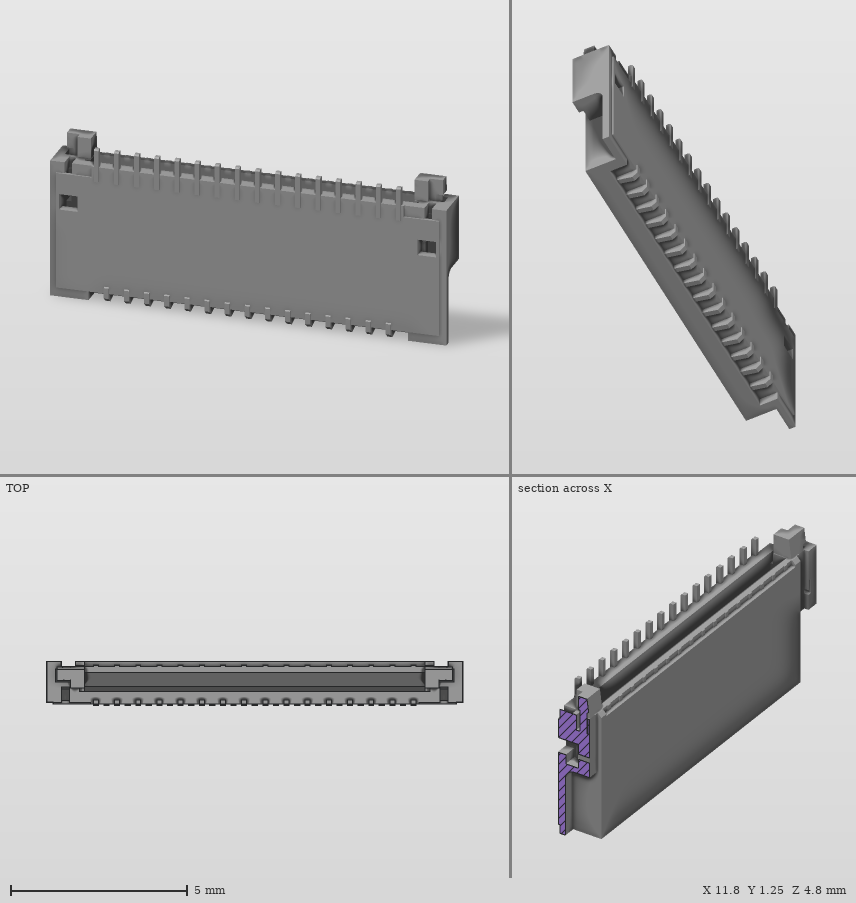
import cadquery as cq


LENGTH = 11.8
DEPTH = 1.25
HEIGHT = 4.15
PANEL_Y = 0.035
FRAME_Y = 0.09
FRAME_WIDTH = 0.19
PANEL_BOTTOM = 0.29
HALF = LENGTH / 2

CORNER_X = 4.65
CORNER_Z = 3.815
KEY_SLOT_INNER = 5.25
KEY_SLOT_WIDTH = 0.22
KEY_SLOT_BACK = 0.53
KEY_PIT_FRONT = 0.14
KEY_PIT_BACK = 0.47
KEY_PIT_DEPTH = 0.15

CORE_X = 5.08
RELIEF_TOP = 2.2
PLATE_BACK = 0.29
RELIEF_RADIUS = 0.29
BACK_NOTCH_X = 5.48
BACK_NOTCH_DEPTH = 0.14

FOOT_X = 4.757
FOOT_DEPTH = 0.65

MOUTH_HALF = 4.82
SLOT_FRONT = 0.39
SLOT_BACK = 0.54
MOUTH_BACK = 0.935
SLOT_DEPTH = 3.0
SIDE_NICHE_WIDTH = 0.15
SIDE_NICHE_DEPTH = 0.10
SIDE_NICHE_HEIGHT = 0.35

RIM_FRONT = 1.11
RIM_DROP = 0.18
RIM_CHAMFER = 0.115
RIB_DEPTH = 0.03

PITCH = 0.6
TAIL_COUNT = 16
TAIL_WIDTH = 0.14
TAIL_THICKNESS = 0.16
TAIL_BOTTOM = 3.70
TAIL_TOP = 4.70
TAIL_CHAMFER = 0.04
PAD_COUNT = 15
PAD_WIDTH = 0.15
PAD_BOTTOM = 0.02
PAD_TOP = 0.50
PAD_CHAMFER_TOP = 0.03
PAD_SLOPE_HEIGHT = 0.13
PAD_SLOPE_DEPTH = 0.16

LOCK_TOP = 4.80
LOCK_OUTER = 5.60
LOCK_MIDDLE = 5.22
LOCK_INNER = 4.82
LOCK_FRONT = 0.50
LOCK_ARM_FRONT = 0.71
LOCK_BACK_TOP = 1.025
LOCK_BACK_BOTTOM = 1.11
LOCK_GAP = 0.035
ARM_BOTTOM = 4.34
STEM_OUTER = 5.55
STEM_FRONT_X = 5.39
STEM_BACK_X = 5.43
STEM_NOSE_FRONT = 0.81
STEM_NOSE_BACK = 0.89
LOCK_POCKET_OUTER = 5.65
LOCK_POCKET_FRONT = 0.665
LOCK_POCKET_BACK = 1.04
LOCK_POCKET_DEPTH = 0.50

WINDOW_OUTER = 5.616
WINDOW_INNER = 5.065
WINDOW_BOTTOM = 2.70
WINDOW_TOP = 3.175
WINDOW_SILL_BACK = 0.31
WINDOW_POCKET_BACK = 0.71
WINDOW_POCKET_FLOOR = 2.40
SLIT_INNER = 5.50
SLIT_LOWER_INNER = 5.47
SLIT_STEP_Z = 2.855
LEDGE_WIDTH = 0.095
LEDGE_HEIGHT = 0.23
LEDGE_FRONT = 0.45


def box(x0, x1, y0, y1, z0, z1):
    """Box between two opposite corners."""
    return cq.Workplane("XY").box(x1 - x0, y1 - y0, z1 - z0, centered=False).translate((x0, y0, z0))


def side_prism(points, x0, x1):
    """Closed (Y, Z) outline extruded from x0 to x1."""
    return cq.Workplane("YZ").polyline(points).close().extrude(x1 - x0).translate((x0, 0, 0))


def both_ends(shape):
    """The shape together with its mirror image about X = 0."""
    return shape.union(shape.mirror("YZ"))


def contact_positions(count):
    """X of each contact in a centred row."""
    return [(i - (count - 1) / 2) * PITCH for i in range(count)]


def housing():
    frame = box(-HALF, HALF, FRAME_Y, DEPTH, 0, HEIGHT)
    panel_half = HALF - FRAME_WIDTH
    panel = box(-panel_half, panel_half, PANEL_Y, FRAME_Y, PANEL_BOTTOM, HEIGHT)
    foot = box(-FOOT_X, FOOT_X, 0, FOOT_DEPTH, 0, PANEL_BOTTOM)
    return frame.union(panel).cut(foot)


def panel_corner():
    raised = box(CORNER_X, HALF, 0, FRAME_Y, CORNER_Z, HEIGHT)
    slot_outer = KEY_SLOT_INNER + KEY_SLOT_WIDTH
    key_slot = box(KEY_SLOT_INNER, slot_outer, 0, KEY_SLOT_BACK, CORNER_Z, HEIGHT)
    pit_floor = CORNER_Z - KEY_PIT_DEPTH
    pit = box(KEY_SLOT_INNER, slot_outer, KEY_PIT_FRONT, KEY_PIT_BACK, pit_floor, HEIGHT)
    return raised.union(key_slot).union(pit)


def lower_relief():
    relief = box(CORE_X, HALF, PLATE_BACK, DEPTH, 0, RELIEF_TOP)
    relief = relief.edges("|X and <Y and >Z").fillet(RELIEF_RADIUS)
    notch = box(CORE_X, BACK_NOTCH_X, DEPTH - BACK_NOTCH_DEPTH, DEPTH, 0, HEIGHT)
    return relief.union(notch)


def cable_slot():
    floor = HEIGHT - SLOT_DEPTH
    slope_bottom = HEIGHT - (MOUTH_BACK - SLOT_BACK)
    outline = [
        (SLOT_FRONT, HEIGHT),
        (SLOT_FRONT, floor),
        (SLOT_BACK, floor),
        (SLOT_BACK, slope_bottom),
        (MOUTH_BACK, HEIGHT),
    ]
    slot = side_prism(outline, -MOUTH_HALF, MOUTH_HALF)
    niche_back = SLOT_FRONT + SIDE_NICHE_DEPTH
    niche_outer = MOUTH_HALF + SIDE_NICHE_WIDTH
    niche = box(MOUTH_HALF, niche_outer, SLOT_FRONT, niche_back, HEIGHT - SIDE_NICHE_HEIGHT, HEIGHT)
    return slot.union(both_ends(niche))


def lowered_rim():
    rim_top = HEIGHT - RIM_DROP
    rim = box(-MOUTH_HALF, MOUTH_HALF, RIM_FRONT, DEPTH, rim_top, HEIGHT)
    for x in contact_positions(TAIL_COUNT):
        rib = box(x - TAIL_WIDTH / 2, x + TAIL_WIDTH / 2, RIM_FRONT, RIM_FRONT + RIB_DEPTH, rim_top, HEIGHT)
        rim = rim.cut(rib)
    chamfer = [(DEPTH - RIM_CHAMFER, HEIGHT), (DEPTH, HEIGHT - RIM_CHAMFER), (DEPTH, HEIGHT)]
    return rim.union(side_prism(chamfer, -CORE_X, CORE_X))


def window():
    opening = box(WINDOW_INNER, WINDOW_OUTER, 0, WINDOW_SILL_BACK, WINDOW_BOTTOM, WINDOW_TOP)
    pocket = box(
        WINDOW_INNER, WINDOW_OUTER,
        WINDOW_SILL_BACK, WINDOW_POCKET_BACK,
        WINDOW_POCKET_FLOOR, WINDOW_TOP,
    )
    ledge_outer = WINDOW_INNER + LEDGE_WIDTH
    ledge_top = WINDOW_BOTTOM + LEDGE_HEIGHT
    ledge = box(WINDOW_INNER, ledge_outer, LEDGE_FRONT, WINDOW_POCKET_BACK, WINDOW_POCKET_FLOOR, ledge_top)
    slit = box(SLIT_INNER, WINDOW_OUTER, 0, DEPTH, WINDOW_BOTTOM, WINDOW_TOP)
    lower_slit = box(SLIT_LOWER_INNER, WINDOW_OUTER, 0, DEPTH, WINDOW_BOTTOM, SLIT_STEP_Z)
    return opening.union(pocket.cut(ledge)).union(slit).union(lower_slit)


def lock_pocket():
    floor = HEIGHT - LOCK_POCKET_DEPTH
    return box(LOCK_MIDDLE, LOCK_POCKET_OUTER, LOCK_POCKET_FRONT, LOCK_POCKET_BACK, floor, HEIGHT)


def lock():
    slope = (LOCK_BACK_BOTTOM - LOCK_BACK_TOP) / (LOCK_TOP - HEIGHT)

    def back_y(z):
        return LOCK_BACK_TOP + slope * (LOCK_TOP - z)

    def block(x0, x1, front, bottom):
        outline = [(front, bottom), (front, LOCK_TOP), (LOCK_BACK_TOP, LOCK_TOP), (back_y(bottom), bottom)]
        return side_prism(outline, x0, x1)

    head = block(LOCK_INNER, LOCK_MIDDLE, LOCK_FRONT, HEIGHT + LOCK_GAP)
    arm = block(LOCK_MIDDLE, LOCK_OUTER, LOCK_ARM_FRONT, ARM_BOTTOM)
    stem_points = [
        (LOCK_MIDDLE, LOCK_ARM_FRONT),
        (STEM_FRONT_X, LOCK_ARM_FRONT),
        (STEM_OUTER, STEM_NOSE_FRONT),
        (STEM_OUTER, STEM_NOSE_BACK),
        (STEM_BACK_X, LOCK_BACK_BOTTOM),
        (LOCK_MIDDLE, LOCK_BACK_BOTTOM),
    ]
    stem_bottom = HEIGHT - LOCK_POCKET_DEPTH
    stem = cq.Workplane("XY", origin=(0, 0, stem_bottom)).polyline(stem_points).close()
    stem = stem.extrude(ARM_BOTTOM - stem_bottom)
    stem = stem.intersect(block(LOCK_MIDDLE, LOCK_OUTER, LOCK_ARM_FRONT, stem_bottom))
    return head.union(arm).union(stem)


def solder_tail(x):
    outline = [
        (0, TAIL_BOTTOM),
        (0, TAIL_TOP - TAIL_CHAMFER),
        (TAIL_CHAMFER, TAIL_TOP),
        (TAIL_THICKNESS, TAIL_TOP),
        (TAIL_THICKNESS, TAIL_BOTTOM),
    ]
    return side_prism(outline, x - TAIL_WIDTH / 2, x + TAIL_WIDTH / 2)


def lower_pad(x):
    slope_top = PAD_BOTTOM + PAD_SLOPE_HEIGHT
    outline = [
        (0, slope_top),
        (0, PAD_TOP - PAD_CHAMFER_TOP),
        (PAD_CHAMFER_TOP, PAD_TOP),
        (FOOT_DEPTH, PAD_TOP),
        (FOOT_DEPTH, slope_top),
        (PAD_SLOPE_DEPTH, PAD_BOTTOM),
    ]
    return side_prism(outline, x - PAD_WIDTH / 2, x + PAD_WIDTH / 2)


def connector():
    body = housing()
    for end_cut in (panel_corner(), lower_relief(), window(), lock_pocket()):
        body = body.cut(both_ends(end_cut))
    body = body.cut(cable_slot()).cut(lowered_rim())
    body = body.union(both_ends(lock()))
    for x in contact_positions(TAIL_COUNT):
        body = body.union(solder_tail(x))
    for x in contact_positions(PAD_COUNT):
        body = body.union(lower_pad(x))
    return body


result = connector()